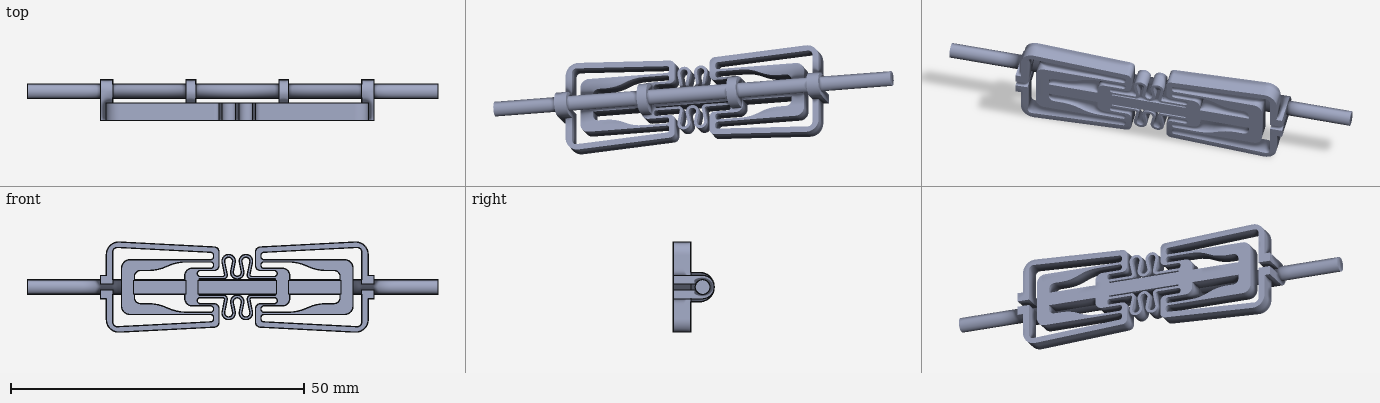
import cadquery as cq
import math


plate_depth = 3.0
half_height = 7.7
end_wall_outer = -22.3
end_wall_inner = -21.2
end_corner_radius = 2.2
end_corner_inner_radius = 0.8
roof_slope = math.tan(math.radians(3))
roof_thickness = 1.0

post_center_side = -3.1
post_slot_side = -4.05
post_corner_radius = 0.9
slot_end_radius = 0.455

leaf_thickness = 0.4
upper_leaf_top = 4.7
lower_leaf_bottom = 2.8
upper_leaf_bottom = upper_leaf_top - leaf_thickness
lower_leaf_top = lower_leaf_bottom + leaf_thickness

rim_outer = -19.75
rim_inner = -17.5
rim_arm_bottom = 2.8
rim_taper_start = -15.2
rim_taper_end = -8.7
rim_outer_radius = 1.5
rim_inner_radius = 1.0

block_outer = -8.95
block_inner = -6.45
block_corner_radius = 1.25
block_slot_end = -6.8

loop_spacing = 1.5
loop_radius = 0.9
lead_bend_radius = 0.455
loop_thickness = 0.5
low_loop_height = 2.5
high_loop_height = 4.4
lead_height = low_loop_height - loop_radius

bar_height = 2.3
bar_bite = 0.2

rod_diameter = 2.5
rod_length = 70.0
rod_center_x = -0.8
clamp_back = 7.0
end_clamp_width = 4.0
end_clamp_radius = end_clamp_width / 2
rod_center_y = clamp_back - end_clamp_radius
end_clamp_start = -23.3
clamp_slit_width = 1.0
block_clamp_radius = 2.5
block_clamp_start = -8.75
block_clamp_end = -7.1


def rounded_outline(corners):
    """Closed XZ outline through (x, z, radius) corners, each rounded by an arc where radius > 0."""
    coincidence = 7e-07
    sketch = None
    last_point = None
    for i, (x, z, radius) in enumerate(corners):
        corner = cq.Vector(x, z)
        previous = cq.Vector(*corners[i - 1][:2])
        following = cq.Vector(*corners[(i + 1) % len(corners)][:2])
        to_previous = (previous - corner).normalized()
        to_following = (following - corner).normalized()
        half_angle = to_previous.getAngle(to_following) / 2
        setback = radius / math.tan(half_angle)
        arc_start = corner + to_previous * setback
        arc_end = corner + to_following * setback
        bisector = (to_previous + to_following).normalized()
        arc_middle = corner + bisector * (radius / math.sin(half_angle) - radius)
        if sketch is None:
            sketch = cq.Workplane("XZ").moveTo(arc_start.x, arc_start.y)
        elif (arc_start - last_point).Length > coincidence:
            sketch = sketch.lineTo(arc_start.x, arc_start.y)
        if radius > 0:
            sketch = sketch.threePointArc((arc_middle.x, arc_middle.y), (arc_end.x, arc_end.y))
        last_point = arc_end
    return sketch.close()


def through_plate(outline):
    """Extrude an XZ outline from the front face to the back face of the plate."""
    return outline.extrude(-plate_depth)


def box(x_range, y_range, z_range):
    """Box between the given limits."""
    spans = [high - low for low, high in (x_range, y_range, z_range)]
    corner = (x_range[0], y_range[0], z_range[0])
    return cq.Workplane("XY").box(*spans, centered=False).translate(corner)


def with_mirror(solid, plane):
    return solid.union(solid.mirror(plane))


def roof_height(x):
    """Height of the sloping roof, whose corner arc just reaches half_height."""
    arc_center_x = end_wall_outer + end_corner_radius
    arc_center_z = half_height - end_corner_radius
    line_above_center = arc_center_z + end_corner_radius * math.hypot(1, roof_slope)
    return line_above_center - roof_slope * (x - arc_center_x)


def cell_quarter():
    """End wall, roof, post, leaf springs, rim and block of one quarter."""
    body = through_plate(rounded_outline([
        (end_wall_outer, 0, 0),
        (end_wall_outer, roof_height(end_wall_outer), end_corner_radius),
        (post_center_side, roof_height(post_center_side), post_corner_radius),
        (post_center_side, lower_leaf_bottom, post_corner_radius),
        (block_inner, lower_leaf_bottom, 0),
        (block_inner, 0, 0),
    ]))
    gap_around_rim = through_plate(rounded_outline([
        (end_wall_inner, 0, 0),
        (end_wall_inner, roof_height(end_wall_inner) - roof_thickness, end_corner_inner_radius),
        (post_slot_side, roof_height(post_slot_side) - roof_thickness, slot_end_radius),
        (post_slot_side, upper_leaf_top, slot_end_radius),
        (rim_outer, upper_leaf_top, rim_outer_radius),
        (rim_outer, 0, 0),
    ]))

    half_run = (rim_taper_end - rim_taper_start) / 2
    half_rise = (upper_leaf_bottom - rim_arm_bottom) / 2
    taper_radius = (half_run**2 + half_rise**2) / (2 * half_rise)
    setback = taper_radius * half_rise / half_run
    window = through_plate(rounded_outline([
        (rim_inner, 0, 0),
        (rim_inner, rim_arm_bottom, rim_inner_radius),
        (rim_taper_start + setback, rim_arm_bottom, taper_radius),
        (rim_taper_end - setback, upper_leaf_bottom, taper_radius),
        (post_slot_side, upper_leaf_bottom, slot_end_radius),
        (post_slot_side, lower_leaf_top, slot_end_radius),
        (block_outer, lower_leaf_top, block_corner_radius),
        (block_outer, 0, 0),
    ]))

    lead_top = lead_height + leaf_thickness / 2
    block_slot = through_plate(rounded_outline([
        (block_slot_end, lead_top, slot_end_radius),
        (block_slot_end, lower_leaf_bottom, slot_end_radius),
        (post_center_side, lower_leaf_bottom, 0),
        (post_center_side, lead_top, 0),
    ]))
    return body.cut(gap_around_rim).cut(window).cut(block_slot)


def serpentine():
    """Upper spring: arcs joined by tangent legs, running between the two lead strips."""
    spacing_rise = high_loop_height - low_loop_height
    center_distance = math.hypot(loop_spacing, spacing_rise)
    wrap = math.atan2(spacing_rise, loop_spacing) - math.acos(2 * loop_radius / center_distance)

    radius_drop = loop_radius - lead_bend_radius
    bend_x = 2 * loop_spacing - radius_drop * (1 + math.sin(wrap)) / math.cos(wrap)
    bend_z = lead_height + lead_bend_radius

    low, high, radius = low_loop_height, high_loop_height, loop_radius
    quarter, half = math.pi / 2, math.pi
    loops = [
        (-bend_x, bend_z, lead_bend_radius, -quarter, wrap),
        (-loop_spacing, high, radius, half + wrap, -wrap),
        (0, low, radius, half - wrap, 2 * half + wrap),
        (loop_spacing, high, radius, half + wrap, -wrap),
        (bend_x, bend_z, lead_bend_radius, half - wrap, half + quarter),
    ]

    def side_arcs(offset):
        """Start, middle and end points of every arc on the side offset from the centre line."""
        arcs = []
        for x, z, center_line_radius, start, end in loops:
            turn = math.copysign(1, end - start)
            side_radius = center_line_radius + turn * offset
            angles = (start, (start + end) / 2, end)
            arcs.append([(x + side_radius * math.cos(a), z + side_radius * math.sin(a)) for a in angles])
        return arcs

    near_side = side_arcs(loop_thickness / 2)
    far_side = [arc[::-1] for arc in side_arcs(-loop_thickness / 2)[::-1]]
    outline = cq.Workplane("XZ").moveTo(*near_side[0][0])
    for start, middle, end in near_side + far_side:
        if start != near_side[0][0]:
            outline = outline.lineTo(*start)
        outline = outline.threePointArc(middle, end)
    spring = through_plate(outline.close())

    lead_range_z = (lead_height - leaf_thickness / 2, lead_height + leaf_thickness / 2)
    lead = box((block_inner, -bend_x), (0, plate_depth), lead_range_z)
    return spring.union(with_mirror(lead, "YZ"))


def clamp(x_range, front, radius):
    """Upright strap with a rounded back, bored for the rod."""
    arc_center_y = clamp_back - radius
    strap = (
        cq.Workplane("YZ", origin=(x_range[0], 0, 0))
        .moveTo(front, -radius)
        .lineTo(arc_center_y, -radius)
        .threePointArc((clamp_back, 0), (arc_center_y, radius))
        .lineTo(front, radius)
        .close()
        .extrude(x_range[1] - x_range[0])
    )
    return strap.cut(make_rod())


def make_rod():
    rod_start = rod_center_x - rod_length / 2
    return (
        cq.Workplane("YZ", origin=(rod_start, rod_center_y, 0))
        .circle(rod_diameter / 2)
        .extrude(rod_length)
    )


def make_bar(x_range):
    return box(x_range, (0, plate_depth), (-bar_height / 2, bar_height / 2))


def make_frame(bars):
    """Compliant plate with its four clamps, recessed for the bars and slit at the end clamps."""
    end_clamp_range = (end_clamp_start, end_wall_inner)
    half_frame = with_mirror(cell_quarter(), "XY")
    half_frame = half_frame.union(clamp(end_clamp_range, 0, end_clamp_radius))
    half_frame = half_frame.union(
        clamp((block_clamp_start, block_clamp_end), plate_depth, block_clamp_radius)
    )
    slit_range_z = (-clamp_slit_width / 2, clamp_slit_width / 2)
    half_frame = half_frame.cut(box(end_clamp_range, (0, rod_center_y), slit_range_z))
    frame = with_mirror(half_frame, "YZ").union(with_mirror(serpentine(), "XY"))
    for bar in bars:
        frame = frame.cut(bar)
    return frame


side_bar_range = (rim_inner - bar_bite, block_outer + bar_bite)
center_bar_end = block_inner - bar_bite
bar_ranges = [
    side_bar_range,
    (center_bar_end, -center_bar_end),
    (-side_bar_range[1], -side_bar_range[0]),
]
bars = [make_bar(x_range) for x_range in bar_ranges]
rod = make_rod()
frame = make_frame(bars)

result = cq.Compound.makeCompound([frame.val(), rod.val(), *[bar.val() for bar in bars]])